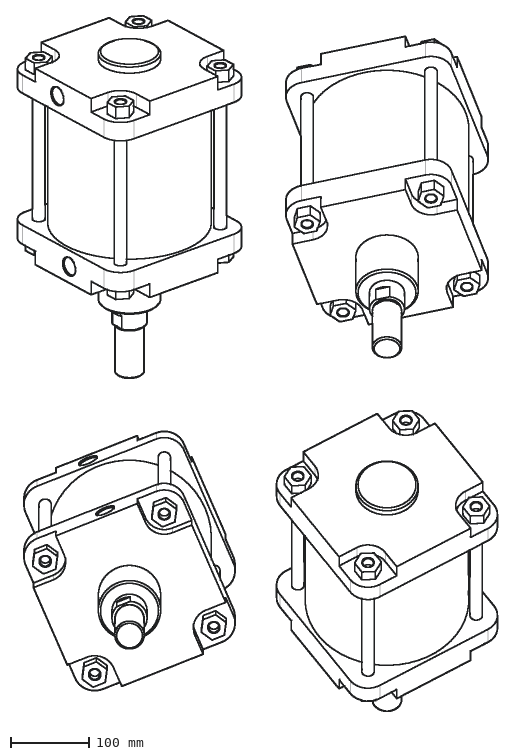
import cadquery as cq
import math

cover_side = 220.0
tie_offset = 82.5
corner_radius = cover_side / 2 - tie_offset
base_thickness = 47.0
cap_thickness = 45.5
pocket_depth = 19.5
pocket_radius = 26.0

hub_diameter = 80.0
hub_chamfer = 2.8
base_hub_length = 65.0
cap_hub_length = 11.5

port_diameter = 24.0
port_depth = 27.5
port_offset = 12.0
port_mouth_diameter = 25.5
port_mouth_depth = 2.0

barrel_diameter = 209.8
barrel_length = 188.0

tie_diameter = 16.0
nut_across_flats = 30.0
nut_height = 16.5
nut_hole_diameter = 13.8
nut_hole_depth = 13.8
nut_hole_chamfer = 1.0

rod_diameter = 45.0
rod_exposed_length = 30.0
flat_length = 18.5
across_flats = 41.0
thread_diameter = 37.5
thread_length = 69.0
thread_chamfer = 2.5
groove_diameter = 33.5
groove_length = 3.0
groove_taper = 1.5

base_bottom = -base_thickness
hub_bottom = base_bottom - base_hub_length
flat_bottom = hub_bottom - rod_exposed_length
thread_top = flat_bottom - groove_length
rod_bottom = thread_top - thread_length
base_seat = base_bottom + pocket_depth
cap_top = barrel_length + cap_thickness
cap_seat = cap_top - pocket_depth

tie_places = [(x, y) for x in (-tie_offset, tie_offset) for y in (-tie_offset, tie_offset)]


def cylinder(diameter, bottom, height):
    return cq.Workplane("XY").workplane(offset=bottom).circle(diameter / 2).extrude(height)


def corner_pockets(bottom):
    """Four corner recesses, each open to the outside and rounded around its tie rod."""
    size = 2 * (corner_radius + pocket_radius)
    return (
        cq.Workplane("XY")
        .workplane(offset=bottom)
        .rect(cover_side, cover_side, forConstruction=True)
        .vertices()
        .rect(size, size)
        .extrude(pocket_depth)
        .edges("|Z")
        .fillet(pocket_radius)
    )


def port(x, z):
    """Blind port with a tapered mouth in the -Y face of a cover."""
    radius = port_diameter / 2
    mouth_radius = port_mouth_diameter / 2
    profile = [
        (0, 0),
        (mouth_radius, 0),
        (radius, port_mouth_depth),
        (radius, port_depth),
        (0, port_depth),
    ]
    cutter = cq.Workplane("XY").polyline(profile).close().revolve(360, (0, 0), (0, 1))
    return cutter.translate((x, -cover_side / 2, z))


def make_cover(bottom, thickness, pocket_bottom, port_x):
    """Square plate with corner pockets, tie rod holes and a port, without its hub."""
    plate = (
        cq.Workplane("XY")
        .workplane(offset=bottom)
        .rect(cover_side, cover_side)
        .extrude(thickness)
        .edges("|Z")
        .fillet(corner_radius)
    )
    tie_holes = (
        cq.Workplane("XY")
        .workplane(offset=bottom)
        .pushPoints(tie_places)
        .circle(tie_diameter / 2)
        .extrude(thickness)
    )
    plate = plate.cut(corner_pockets(pocket_bottom)).cut(tie_holes)
    return plate.cut(port(port_x, bottom + thickness / 2))


def make_base():
    """Lower cover with a long hub, bored through for the piston rod."""
    hub = cylinder(hub_diameter, hub_bottom, base_hub_length).faces("<Z").chamfer(hub_chamfer)
    bore = cylinder(rod_diameter, hub_bottom, -hub_bottom)
    cover = make_cover(base_bottom, base_thickness, base_bottom, port_offset)
    return cover.union(hub).cut(bore)


def make_cap():
    """Upper cover with a short solid hub."""
    hub = cylinder(hub_diameter, cap_top, cap_hub_length).faces(">Z").chamfer(hub_chamfer)
    return make_cover(barrel_length, cap_thickness, cap_seat, -port_offset).union(hub)


def make_barrel():
    return cylinder(barrel_diameter, 0, barrel_length)


def make_piston_rod():
    """Turned rod with two wrench flats, a thread relief groove and a threaded end."""
    rod_radius = rod_diameter / 2
    thread_radius = thread_diameter / 2
    groove_radius = groove_diameter / 2
    profile = [
        (0, 0),
        (rod_radius, 0),
        (rod_radius, flat_bottom),
        (groove_radius + groove_taper, flat_bottom),
        (groove_radius, flat_bottom - groove_taper),
        (groove_radius, thread_top),
        (thread_radius, thread_top),
        (thread_radius, rod_bottom + thread_chamfer),
        (thread_radius - thread_chamfer, rod_bottom),
        (0, rod_bottom),
    ]
    rod = cq.Workplane("XZ").polyline(profile).close().revolve(360, (0, 0), (0, 1))
    for side in (-1, 1):
        waste = (
            cq.Workplane("XY")
            .workplane(offset=flat_bottom)
            .center(0, side * (across_flats + rod_diameter) / 2)
            .rect(rod_diameter, rod_diameter)
            .extrude(flat_length)
        )
        rod = rod.cut(waste)
    return rod


def make_tie_rod(x, y):
    """Tie rod with a nut on each cover seat; each nut has a blind hole in its outer end."""
    across_corners = nut_across_flats / math.cos(math.pi / 6)
    nut_bottoms = (base_seat - nut_height, cap_seat)
    tie = cylinder(tie_diameter, base_seat, cap_seat - base_seat)
    for nut_bottom in nut_bottoms:
        nut = cq.Workplane("XY").workplane(offset=nut_bottom).polygon(6, across_corners).extrude(nut_height)
        tie = tie.union(nut)
    for hole_bottom in (nut_bottoms[0], cap_seat + nut_height - nut_hole_depth):
        tie = tie.cut(cylinder(nut_hole_diameter, hole_bottom, nut_hole_depth))
    tie = tie.faces("<Z or >Z").edges("%CIRCLE").chamfer(nut_hole_chamfer)
    return tie.translate((x, y, 0))


base = make_base()
cap = make_cap()
barrel = make_barrel()
piston_rod = make_piston_rod()
tie_rods = [make_tie_rod(x, y) for x, y in tie_places]

result = cq.Compound.makeCompound([
    base.val(),
    cap.val(),
    barrel.val(),
    piston_rod.val(),
    *[tie_rod.val() for tie_rod in tie_rods],
])